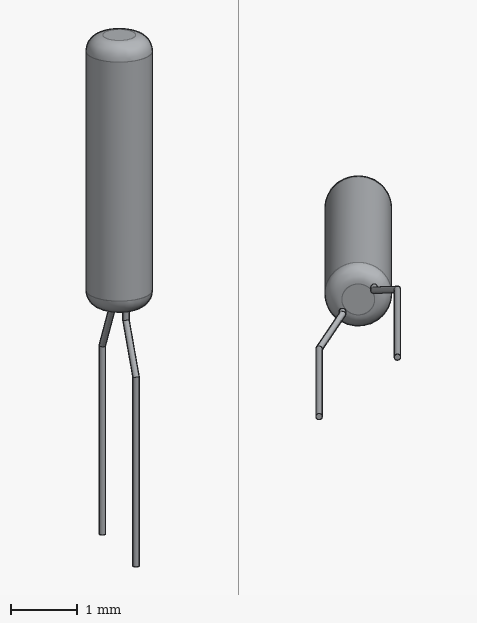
import cadquery as cq

total_height = 8.18
body_diameter = 1.0
body_length = 4.3
edge_radius = 0.25

overall_width = 1.6
wire_diameter = 0.1
root_offset = 0.3
lower_bend_z = 3.0
upper_bend_z = 3.755
root_embed = 0.08

body_bottom_z = total_height - body_length
tip_offset = (overall_width - wire_diameter) / 2


def make_body():
    """Upright cylinder with both end edges rounded."""
    return (
        cq.Workplane("XY", origin=(0, 0, body_bottom_z))
        .circle(body_diameter / 2)
        .extrude(body_length)
        .edges("%CIRCLE")
        .fillet(edge_radius)
    )


def make_lead(side):
    """Round wire bent outward below the body; side is -1 or 1 along X."""
    path = cq.Workplane("XZ").polyline([
        (side * tip_offset, 0),
        (side * tip_offset, lower_bend_z),
        (side * root_offset, upper_bend_z),
        (side * root_offset, body_bottom_z + root_embed),
    ])
    return (
        cq.Workplane("XY", origin=(side * tip_offset, 0, 0))
        .circle(wire_diameter / 2)
        .sweep(path, transition="right")
    )


result = make_body()
for lead_side in (-1, 1):
    result = result.union(make_lead(lead_side))